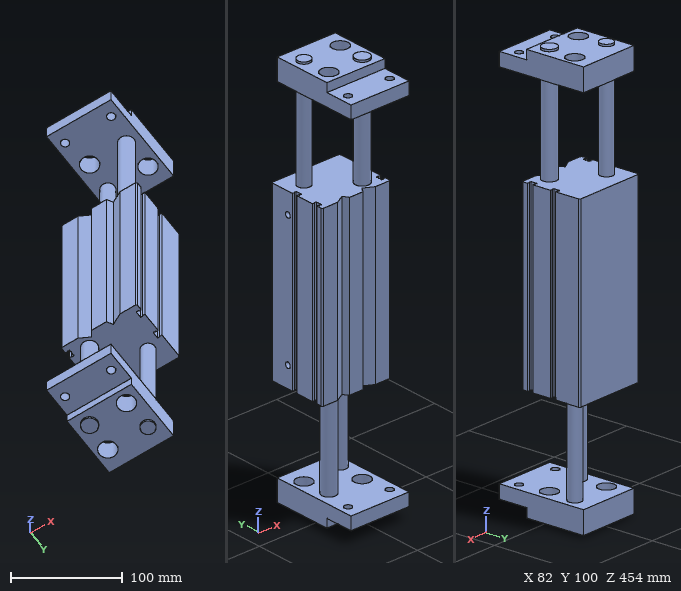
import cadquery as cq


body_width = 82.0
body_depth = 68.0
body_length = 199.8
corner_chamfer = 1.5

front_groove_outer_x = 22.5
front_groove_floor_x = 12.0
front_groove_inner_x = 8.0
front_groove_depth = 6.0

slot_mouth_width = 6.0
slot_inner_width = 7.0
slot_lip = 2.5
slot_depth = 5.0
slot_distances = (31.5, 58.0)

port_diameter = 6.5
port_depth = 7.0
port_tip_depth = 2.0
port_end_distance = 24.0

overall_length = 454.0
overall_depth = 100.0
plate_width = 70.0
plate_thickness = 25.0
plate_gap = 100.0
plate_back_inset = 1.0
plate_step_distance = 67.5
tongue_thickness = 15.0
plate_inner_z = body_length / 2 + plate_gap

fixing_diameter = 8.0
fixing_spacing = 50.0
fixing_front_distance = 15.0

thin_rod_diameter = 14.5
thin_rod_x = 22.0
thin_rod_distance = 22.2
thick_rod_diameter = 16.5
thick_rod_x = 20.0
thick_rod_distance = 53.5
clearance_diameter = 18.0


def z_cylinder(x, y, diameter, z_low, z_high):
    """Upright cylinder between two heights."""
    base = cq.Workplane("XY", origin=(x, y, z_low))
    return base.circle(diameter / 2).extrude(z_high - z_low)


def make_slot(side, distance):
    """T-shaped slot running the length of one side face, as a solid to cut away."""
    inner_width = slot_depth - slot_lip
    mouth_x = side * (body_width - slot_lip) / 2
    inner_x = side * (body_width / 2 - slot_lip - inner_width / 2)
    mouth = cq.Workplane("XY").box(slot_lip, slot_mouth_width, body_length)
    inner = cq.Workplane("XY").box(inner_width, slot_inner_width, body_length)
    return mouth.translate((mouth_x, -distance, 0)).union(inner.translate((inner_x, -distance, 0)))


def make_port(z):
    """Blind drilled port with a conical tip, as a solid of revolution to cut away."""
    radius = port_diameter / 2
    profile = cq.Workplane("XY", origin=(-body_width / 2, -thin_rod_distance, z)).polyline([
        (0, 0),
        (0, radius),
        (port_depth, radius),
        (port_depth + port_tip_depth, 0),
    ]).close()
    return profile.revolve(360, (0, 0, 0), (1, 0, 0))


def make_body():
    """Extruded guide body with its grooves, slots and air ports."""
    body = cq.Workplane("XY").box(body_width, body_depth, body_length)
    body = body.translate((0, -body_depth / 2, 0))
    body = body.edges("|Z").chamfer(corner_chamfer)
    below = cq.Workplane("XY", origin=(0, 0, -body_length / 2))
    for side in (-1, 1):
        groove = below.polyline([
            (side * front_groove_outer_x, -body_depth),
            (side * front_groove_floor_x, front_groove_depth - body_depth),
            (side * front_groove_inner_x, -body_depth),
        ]).close().extrude(body_length)
        body = body.cut(groove)
        for distance in slot_distances:
            body = body.cut(make_slot(side, distance))
    for end in (-1, 1):
        body = body.cut(make_port(end * (body_length / 2 - port_end_distance)))
    return body


def make_carriage(rod_side):
    """Upper end plate with its two rods; rod_side is the X side of the thick rod."""
    plate_outer_z = plate_inner_z + plate_thickness
    tongue_z = plate_inner_z + tongue_thickness
    carriage = cq.Workplane("YZ", origin=(-plate_width / 2, 0, 0)).polyline([
        (-plate_back_inset, plate_inner_z),
        (-plate_back_inset, plate_outer_z),
        (-plate_step_distance, plate_outer_z),
        (-plate_step_distance, tongue_z),
        (-overall_depth, tongue_z),
        (-overall_depth, plate_inner_z),
    ]).close().extrude(plate_width)

    fixing_y = fixing_front_distance - overall_depth
    holes = [
        (-fixing_spacing / 2, fixing_y, fixing_diameter),
        (fixing_spacing / 2, fixing_y, fixing_diameter),
        (rod_side * thin_rod_x, -thin_rod_distance, clearance_diameter),
        (-rod_side * thick_rod_x, -thick_rod_distance, clearance_diameter),
    ]
    for x, y, diameter in holes:
        carriage = carriage.cut(z_cylinder(x, y, diameter, plate_inner_z, plate_outer_z))

    rods = [
        (-rod_side * thin_rod_x, -thin_rod_distance, thin_rod_diameter),
        (rod_side * thick_rod_x, -thick_rod_distance, thick_rod_diameter),
    ]
    for x, y, diameter in rods:
        carriage = carriage.union(z_cylinder(x, y, diameter, 0, overall_length / 2))
    return carriage


upper_carriage = make_carriage(rod_side=1)
lower_carriage = make_carriage(rod_side=-1).mirror("XY")
result = make_body().union(upper_carriage).union(lower_carriage)